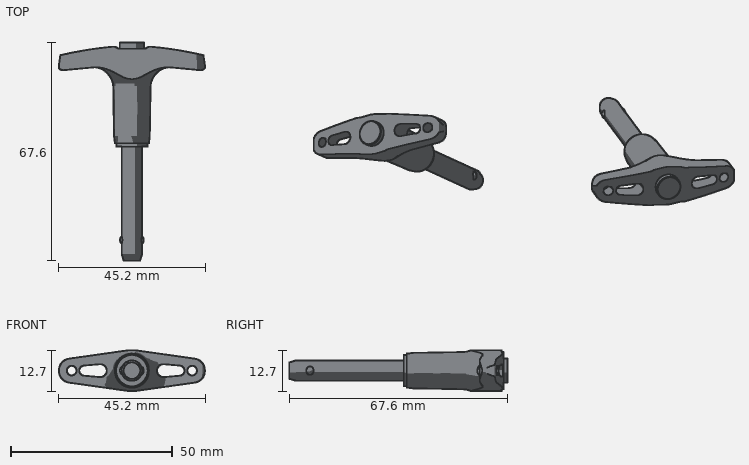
import cadquery as cq
import math


overall_length = 67.56
shank_radius = 6.35 / 2
tip_radius = 2.55
tip_length = 2.1
button_radius = 3.8
button_edge_chamfer = 0.2
flare_end_depth = 12.7
band_end_depth = 13.5
band_end_radius = 5.83
taper_end_depth = 29.0
taper_end_radius = 5.57
stem_end_depth = 31.2
stem_end_radius = 5.3
collar_end_depth = 32.2
collar_radius = 4.85

ball_depth = 61.1
ball_radius = 1.45
ball_reach = 3.72

handle_half_length = 45.18 / 2
handle_half_width = 12.7 / 2
centre_flat_half_length = 0.93
end_radius = 3.8
side_slope = 0.1414

notch_depth = 1.92
notch_half_length = 3.9
crest_depth = 1.3
crest_half_length = 5.6
crest_mid_point = (14.0, 2.35)
end_top_half_length = 22.15
end_top_depth = 3.98
end_face_slope = 0.138
end_edge_fillet = 0.25

flare_radius = 6.35
flare_centre_radius = 12.1
underside_inner_depth = 7.72
underside_outer_radius = 21.3
underside_outer_depth = 8.65
end_fillet_radius = 1.5

hole_position = 18.6
hole_radius = 1.46
slot_outer_position = 14.7
slot_outer_radius = 1.53
slot_inner_position = 9.75
slot_inner_radius = 1.96

SIDES = (-1, 1)


def prism_along_y(outline):
    """Extrude an outline drawn in X-Z along the pin axis, past both sides of the handle."""
    return outline.extrude(band_end_depth)


def handle_plan():
    """Tapered outline of the handle with rounded ends."""
    end_centre = handle_half_length - end_radius
    side_angle = math.atan(side_slope)
    end_x = end_centre + end_radius * math.sin(side_angle)
    end_z = handle_half_width - side_slope * (end_x - centre_flat_half_length)
    outline = (
        cq.Workplane("XZ")
        .moveTo(-centre_flat_half_length, handle_half_width)
        .lineTo(centre_flat_half_length, handle_half_width)
        .lineTo(end_x, end_z)
        .threePointArc((handle_half_length, 0), (end_x, -end_z))
        .lineTo(centre_flat_half_length, -handle_half_width)
        .lineTo(-centre_flat_half_length, -handle_half_width)
        .lineTo(-end_x, -end_z)
        .threePointArc((-handle_half_length, 0), (-end_x, end_z))
        .close()
    )
    return prism_along_y(outline)


def handle_crest():
    """Prism along Z, thicker than the handle, bounded by the crest curve and leaning end faces."""
    bottom_half_length = end_top_half_length + end_face_slope * (band_end_depth - end_top_depth)
    mid_x, mid_depth = crest_mid_point
    half = (
        cq.Workplane("XY")
        .moveTo(0, -notch_depth)
        .lineTo(notch_half_length, -notch_depth)
        .spline([(crest_half_length, -crest_depth)], tangents=[(1, 0), (1, 0)], includeCurrent=True)
        .threePointArc((mid_x, -mid_depth), (end_top_half_length, -end_top_depth))
        .lineTo(bottom_half_length, -band_end_depth)
        .lineTo(0, -band_end_depth)
        .close()
        .extrude(handle_half_width * 2, both=True)
    )
    corner_reach = 2 * end_edge_fillet
    corner = cq.selectors.BoxSelector(
        (end_top_half_length - corner_reach, -end_top_depth - corner_reach, -handle_half_width),
        (end_top_half_length + corner_reach, -end_top_depth + corner_reach, handle_half_width),
    )
    half = half.edges(corner).fillet(end_edge_fillet)
    return half.union(half.mirror("YZ"))


def handle_underside():
    """Turned envelope: stem flare, shallow cone, and rounded outer edge."""
    flare_centre_depth = underside_inner_depth + flare_radius
    rise = flare_centre_depth - flare_end_depth
    flare_end_radius = flare_centre_radius - math.sqrt(flare_radius**2 - rise**2)
    diagonal = flare_radius * math.sqrt(0.5)
    fillet_diagonal = end_fillet_radius * math.sqrt(0.5)
    fillet_centre_depth = underside_outer_depth - end_fillet_radius
    outer_radius = underside_outer_radius + end_fillet_radius
    return (
        cq.Workplane("XY")
        .moveTo(0, 0)
        .lineTo(outer_radius, 0)
        .lineTo(outer_radius, -fillet_centre_depth)
        .threePointArc(
            (underside_outer_radius + fillet_diagonal, -fillet_centre_depth - fillet_diagonal),
            (underside_outer_radius, -underside_outer_depth),
        )
        .lineTo(flare_centre_radius, -underside_inner_depth)
        .threePointArc(
            (flare_centre_radius - diagonal, -flare_centre_depth + diagonal),
            (flare_end_radius, -flare_end_depth),
        )
        .lineTo(band_end_radius, -band_end_depth)
        .lineTo(0, -band_end_depth)
        .close()
        .revolve(360, (0, 0), (0, 1))
    )


def round_hole(side):
    return prism_along_y(
        cq.Workplane("XZ").center(side * hole_position, 0).circle(hole_radius)
    )


def tapered_slot(side):
    """Slot with a wide round end near the stem and a narrow one near the handle tip."""
    centre_distance = slot_outer_position - slot_inner_position
    lean = math.asin((slot_inner_radius - slot_outer_radius) / centre_distance)
    inner_x = slot_inner_position + slot_inner_radius * math.sin(lean)
    inner_z = slot_inner_radius * math.cos(lean)
    outer_x = slot_outer_position + slot_outer_radius * math.sin(lean)
    outer_z = slot_outer_radius * math.cos(lean)
    outline = (
        cq.Workplane("XZ")
        .moveTo(side * inner_x, inner_z)
        .lineTo(side * outer_x, outer_z)
        .threePointArc(
            (side * (slot_outer_position + slot_outer_radius), 0),
            (side * outer_x, -outer_z),
        )
        .lineTo(side * inner_x, -inner_z)
        .threePointArc(
            (side * (slot_inner_position - slot_inner_radius), 0),
            (side * inner_x, inner_z),
        )
        .close()
    )
    return prism_along_y(outline)


def handle():
    body = handle_plan().intersect(handle_crest()).intersect(handle_underside())
    for side in SIDES:
        body = body.cut(round_hole(side)).cut(tapered_slot(side))
    return body


def button():
    return (
        cq.Workplane("XZ")
        .circle(button_radius)
        .extrude(notch_depth)
        .faces(">Y")
        .chamfer(button_edge_chamfer)
    )


def stem_and_shank():
    """Tapered stem, collar and shank with a conical tip."""
    profile = [
        (0, -band_end_depth),
        (band_end_radius, -band_end_depth),
        (taper_end_radius, -taper_end_depth),
        (stem_end_radius, -stem_end_depth),
        (collar_radius, -stem_end_depth),
        (collar_radius, -collar_end_depth),
        (shank_radius, -collar_end_depth),
        (shank_radius, tip_length - overall_length),
        (tip_radius, -overall_length),
        (0, -overall_length),
    ]
    return cq.Workplane("XY").polyline(profile).close().revolve(360, (0, 0), (0, 1))


def locking_ball(side):
    centre = (side * (ball_reach - ball_radius), -ball_depth, 0)
    return cq.Workplane("XY").sphere(ball_radius).translate(centre)


result = handle().union(button()).union(stem_and_shank())
for ball_side in SIDES:
    result = result.union(locking_ball(ball_side))